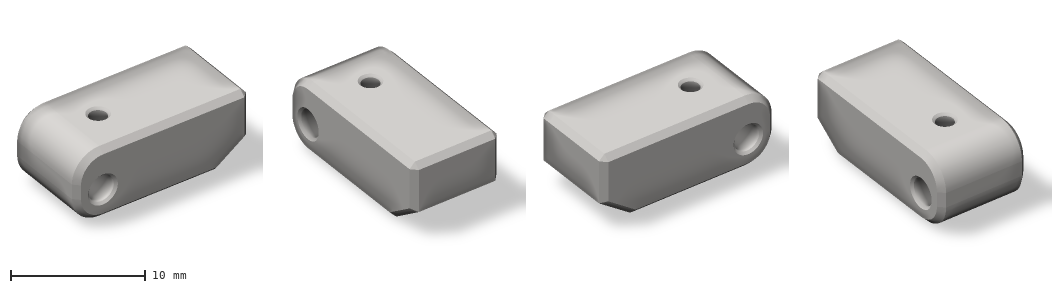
import cadquery as cq
import math

length = 15.9
width = 8.0
height = 6.3
nose_radius = 2.5
edge_chamfer = 0.5

tail_cut_height = 2.0
tail_cut_angle = 35.0
tail_cut_length = tail_cut_height / math.tan(math.radians(tail_cut_angle))

hole_chamfer = 0.2

cross_diameter = 2.3
cross_y = nose_radius
cross_z = 2.64

top_diameter = 1.5
top_y = 4.9
top_depth = height / 2


def make_body():
    """Side outline extruded across the width, with bevelled outer edges."""
    nose_mid = nose_radius * (1 - math.sqrt(0.5))
    body = (
        cq.Workplane("YZ")
        .moveTo(nose_radius, 0)
        .lineTo(length - tail_cut_length, 0)
        .lineTo(length, tail_cut_height)
        .lineTo(length, height)
        .lineTo(nose_radius, height)
        .threePointArc((nose_mid, height - nose_mid), (0, height - nose_radius))
        .lineTo(0, nose_radius)
        .threePointArc((nose_mid, nose_mid), (nose_radius, 0))
        .close()
        .extrude(width / 2, both=True)
    )
    side_edges = body.faces("<X or >X").edges()
    tail_top_edge = body.faces(">Y").edges(">Z")
    return body.newObject(side_edges.vals() + tail_top_edge.vals()).chamfer(edge_chamfer)


def entry_cone(face, diameter):
    """Cone on a plane through a hole mouth, narrowing into the part to the hole diameter."""
    return face.circle(diameter / 2 + hole_chamfer).extrude(-hole_chamfer, taper=45)


def make_cross_hole():
    """Through hole along X, chamfered at both ends."""
    plane = cq.Workplane("YZ").center(cross_y, cross_z)
    hole = plane.circle(cross_diameter / 2).extrude(width / 2, both=True)
    mouth = entry_cone(plane.workplane(offset=width / 2), cross_diameter)
    return hole.union(mouth).union(mouth.mirror("YZ"))


def make_top_hole():
    """Blind hole whose floor has a bevel on the half nearer the nose."""
    radius = top_diameter / 2
    mouth = entry_cone(cq.Workplane("XY", origin=(0, top_y, height)), top_diameter)
    hole = (
        cq.Workplane("XY", origin=(0, top_y, height - top_depth))
        .circle(radius)
        .extrude(top_depth)
    )
    bevel = (
        cq.Workplane("XZ", origin=(0, top_y, height - top_depth))
        .moveTo(radius - hole_chamfer, 0)
        .lineTo(radius, 0)
        .lineTo(radius, hole_chamfer)
        .close()
        .revolve(180, (0, 0, 0), (0, -1, 0))
    )
    return hole.cut(bevel).union(mouth)


block = make_body().cut(make_cross_hole()).cut(make_top_hole())
result = block.translate((0, -length / 2, -height / 2))